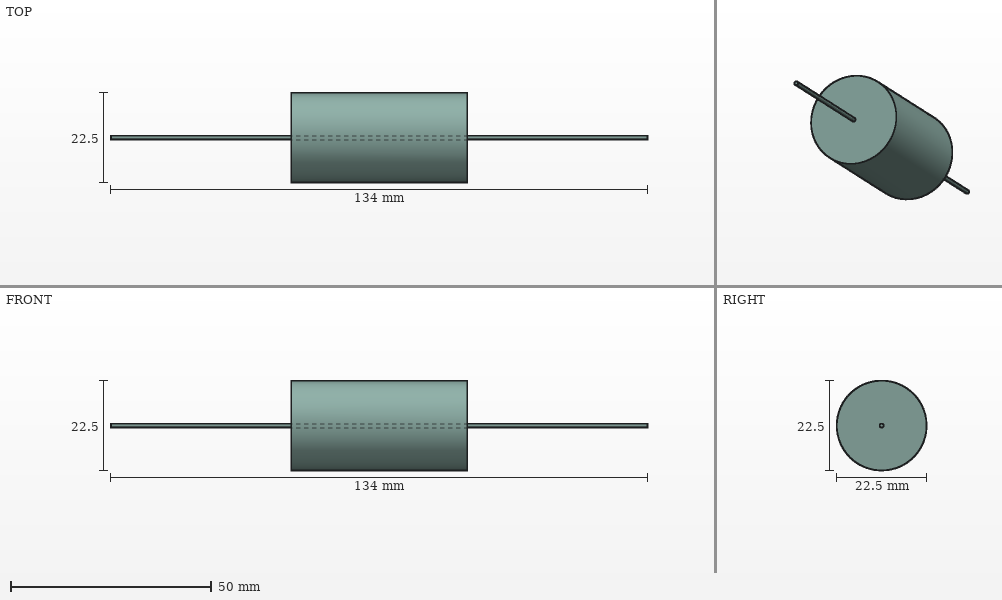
import cadquery as cq

case_diameter = 22.5
case_length = 44.0
lead_diameter = 1.0
overall_length = 134.0


def x_cylinder(diameter, length):
    """Solid cylinder along X, centred on the origin."""
    return cq.Workplane("YZ", origin=(-length / 2, 0, 0)).circle(diameter / 2).extrude(length)


lead = x_cylinder(lead_diameter, overall_length)

case = x_cylinder(case_diameter, case_length).cut(lead)

result = cq.Compound.makeCompound([case.val(), lead.val()])